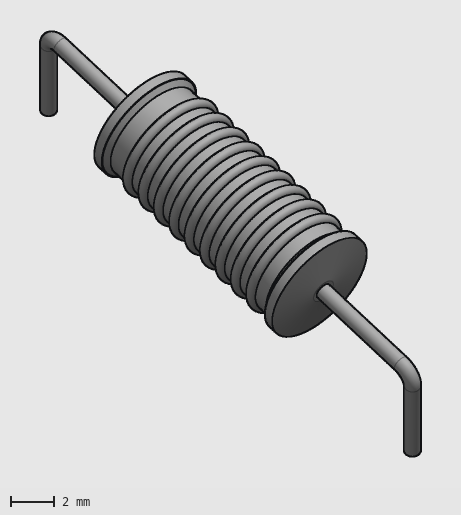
import cadquery as cq

span = 26.2
overall_height = 8.9
flange_diameter = 5.8
barrel_diameter = 5.15
wire_diameter = 0.8

face_half_length = 6.47
flange_outer_half = 6.2
flange_inner_half = 5.69
barrel_half_length = 5.42
face_flat_diameter = 1.2
flange_radius = flange_diameter / 2
barrel_radius = barrel_diameter / 2

ring_count = 9
ring_pitch = 1.07
ring_section_radius = 0.25
ring_group_offset = 0.13

wire_radius = wire_diameter / 2
bend_radius = wire_diameter
lead_x = span / 2 - wire_radius
lead_bottom = flange_radius - overall_height


def make_body():
    """Turned bobbin: a barrel between two flanges with shallow conical faces."""
    chamfer_top_radius = barrel_radius + (flange_inner_half - barrel_half_length)
    half_profile = [
        (flange_outer_half, flange_radius),
        (flange_inner_half, flange_radius),
        (flange_inner_half, chamfer_top_radius),
        (barrel_half_length, barrel_radius),
    ]
    face_flat = (face_half_length, face_flat_diameter / 2)
    right_side = [(face_half_length, 0), face_flat] + half_profile
    left_side = [(-x, r) for x, r in reversed(right_side)]
    profile = cq.Workplane("XY").polyline(right_side + left_side).close()
    return profile.revolve(360, (0, 0, 0), (1, 0, 0))


def make_ring(x):
    """Round bead centred on the barrel surface."""
    section = cq.Workplane("XY").center(x, barrel_radius).circle(ring_section_radius)
    return section.revolve(360, (-x, -barrel_radius, 0), (0.25 - x, -barrel_radius, 0))


def make_wire():
    """One continuous wire: up the left leg, through the body, down the right leg."""
    bend_x = lead_x - bend_radius
    path = (
        cq.Workplane("XZ")
        .moveTo(-lead_x, lead_bottom)
        .lineTo(-lead_x, -bend_radius)
        .tangentArcPoint((-bend_x, 0), relative=False)
        .lineTo(bend_x, 0)
        .tangentArcPoint((lead_x, -bend_radius), relative=False)
        .lineTo(lead_x, lead_bottom)
    )
    foot = cq.Workplane("XY", origin=(-lead_x, 0, lead_bottom)).circle(wire_radius)
    return foot.sweep(path)


result = make_body().union(make_wire())
first_ring_x = ring_group_offset - ring_pitch * (ring_count - 1) / 2
for index in range(ring_count):
    result = result.union(make_ring(first_ring_x + index * ring_pitch))